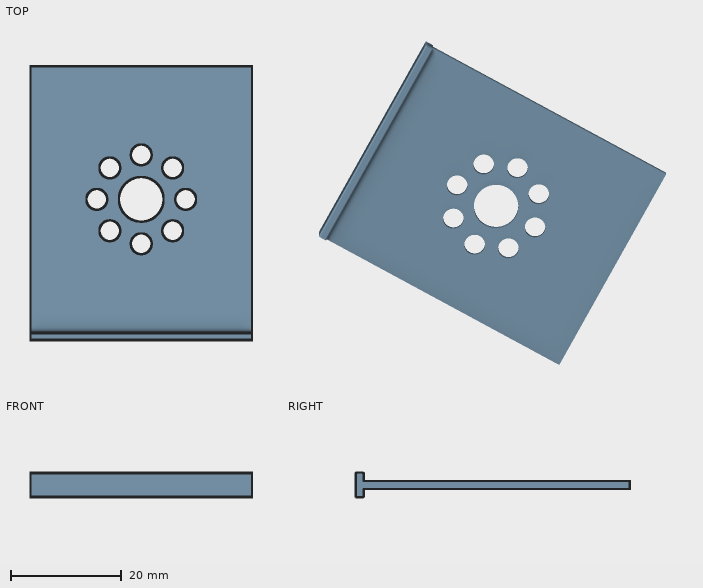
import cadquery as cq

width = 40.0
total_length = 49.5
plate_thickness = 1.5
flange_thickness = 1.5
flange_height = 4.5
edge_chamfer = 0.2
center_hole_diameter = 8.0
small_hole_diameter = 3.7
small_hole_count = 8
bolt_circle_radius = center_hole_diameter

plate_length = total_length - flange_thickness
flange_inner_y = -plate_length / 2
flange_center_y = flange_inner_y - flange_thickness / 2


def make_plate():
    """Flat plate with a central hole and a ring of smaller holes."""
    return (
        cq.Workplane("XY")
        .box(width, plate_length, plate_thickness)
        .faces(">Z")
        .workplane(origin=(0, 0, 0))
        .hole(center_hole_diameter)
        .faces(">Z")
        .workplane(origin=(0, 0, 0))
        .polarArray(bolt_circle_radius, 0, 360, small_hole_count)
        .hole(small_hole_diameter)
    )


def make_flange():
    """Edge bar with its long edges chamfered."""
    bar = cq.Workplane("XY").box(width, flange_thickness, flange_height)
    bar = bar.edges("|X").chamfer(edge_chamfer)
    return bar.translate((0, flange_center_y, 0))


result = make_plate().union(make_flange())